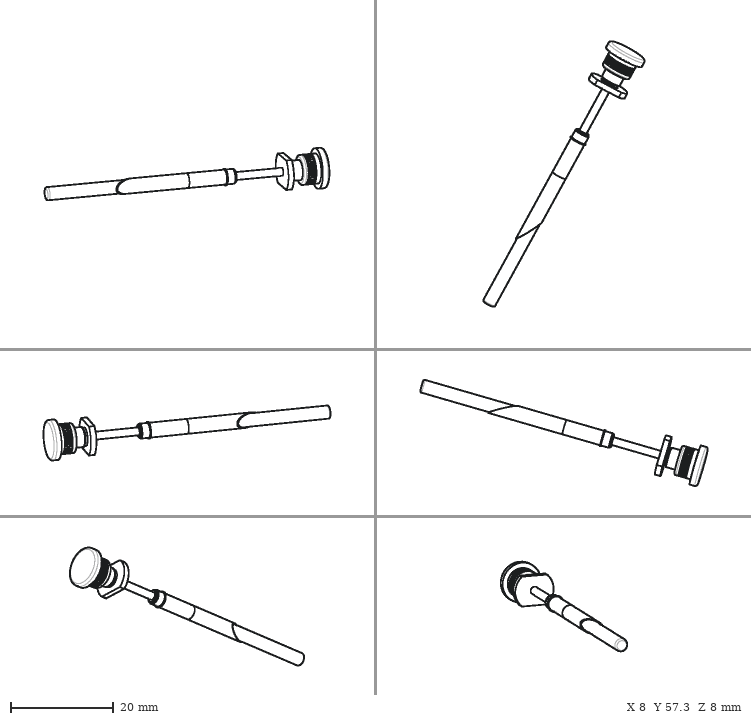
import cadquery as cq
import math

TOTAL_LENGTH = 57.3

FLANGE_RADIUS = 4.0
FLANGE_THICKNESS = 1.5
FLANGE_FILLET = 0.45
GRIP_RADIUS = 3.0
GRIP_END = 5.0
GRIP_FILLET = 0.4
KNURL_START = 2.45
KNURL_LENGTH = 1.6
KNURL_COUNT = 35
KNURL_RIDGE_RADIUS = 3.05
KNURL_ROOT_RADIUS = 2.7
BOSS_RADIUS = 2.0
BOSS_END = 6.9
NECK_OUTER_RADIUS = 1.85
NECK_INNER_RADIUS = 1.5

PLATE_START = 7.45
PLATE_END = 8.6
PLATE_FLAT_SPAN = 6.0

SHAFT_RADIUS = 0.8

BARREL_RADIUS = 1.5
BARREL_START = 18.35
BARREL_NOSE_RADIUS = 1.2
BARREL_NOSE_LENGTH = 0.2
BARREL_SHOULDER_RADIUS = 1.4
BARREL_TAPER_LENGTH = 0.4
COLLAR_RADIUS = 1.65
COLLAR_START = 20.3
COLLAR_THICKNESS = 0.2
BARREL_END = 28.2

SLANT_START = 38.05
SLANT_END = 43.3

PIN_RADIUS = 1.3
PIN_FILLET = 0.35


def along_y(station):
    """Y coordinate of a station, with the whole assembly centred on the origin."""
    return TOTAL_LENGTH / 2 - station


def turned(profile):
    """Solid of revolution about Y from (radius, station) points, closed along the axis."""
    start = profile[0][1]
    end = profile[-1][1]
    points = [(0, start), *profile, (0, end)]
    outline = [(along_y(station), radius) for radius, station in points]
    return cq.Workplane("YZ").polyline(outline).close().revolve(360, (0, 0, 0), (1, 0, 0))


def round_rim(body, radius, station, fillet):
    """Fillet the circular edges of the given radius at the given station."""
    rim = [
        edge for edge in body.edges("%CIRCLE").vals()
        if math.isclose(edge.radius(), radius) and math.isclose(edge.Center().y, along_y(station))
    ]
    return body.newObject(rim).fillet(fillet)


def make_knob():
    neck_middle = (BOSS_END + PLATE_START) / 2
    knob = turned([
        (FLANGE_RADIUS, 0),
        (FLANGE_RADIUS, FLANGE_THICKNESS),
        (GRIP_RADIUS, FLANGE_THICKNESS),
        (GRIP_RADIUS, GRIP_END),
        (BOSS_RADIUS, GRIP_END),
        (BOSS_RADIUS, BOSS_END),
        (NECK_OUTER_RADIUS, BOSS_END),
        (NECK_INNER_RADIUS, neck_middle),
        (NECK_OUTER_RADIUS, PLATE_START),
    ])
    knob = round_rim(knob, FLANGE_RADIUS, 0, FLANGE_FILLET)
    knob = round_rim(knob, GRIP_RADIUS, GRIP_END, GRIP_FILLET)
    return knob.cut(knurl_grooves())


def knurl_grooves():
    """Ring cut from the grip, leaving V-shaped grooves with narrow lands between them."""
    outline = []
    for index in range(KNURL_COUNT):
        root_angle = 2 * math.pi * index / KNURL_COUNT
        ridge_angle = root_angle + math.pi / KNURL_COUNT
        for radius, angle in ((KNURL_ROOT_RADIUS, root_angle), (KNURL_RIDGE_RADIUS, ridge_angle)):
            outline.append((radius * math.cos(angle), radius * math.sin(angle)))
    start_plane = cq.Workplane("XZ", origin=(0, along_y(KNURL_START), 0))
    ring = start_plane.circle(FLANGE_RADIUS).extrude(KNURL_LENGTH)
    ridges = start_plane.polyline(outline).close().extrude(KNURL_LENGTH)
    return ring.cut(ridges)


def make_plate():
    disc = turned([(FLANGE_RADIUS, PLATE_START), (FLANGE_RADIUS, PLATE_END)])
    thickness = PLATE_END - PLATE_START
    flats = cq.Workplane("XY").box(2 * FLANGE_RADIUS, thickness, PLATE_FLAT_SPAN)
    return disc.intersect(flats.translate((0, along_y((PLATE_START + PLATE_END) / 2), 0)))


def make_shaft():
    return turned([(SHAFT_RADIUS, PLATE_END), (SHAFT_RADIUS, BARREL_START)])


def make_barrel():
    collar_end = COLLAR_START + COLLAR_THICKNESS
    return turned([
        (BARREL_NOSE_RADIUS, BARREL_START),
        (BARREL_SHOULDER_RADIUS, BARREL_START + BARREL_NOSE_LENGTH),
        (BARREL_RADIUS, BARREL_START + BARREL_TAPER_LENGTH),
        (BARREL_RADIUS, COLLAR_START),
        (COLLAR_RADIUS, COLLAR_START),
        (COLLAR_RADIUS, collar_end),
        (BARREL_RADIUS, collar_end),
        (BARREL_RADIUS, BARREL_END),
    ])


def knob_side_of_slant():
    """Block filling the knob side of the slanted joint plane, from the barrel end on."""
    half_width = 2 * BARREL_RADIUS
    middle = (SLANT_START + SLANT_END) / 2
    slope = (SLANT_END - SLANT_START) / (2 * BARREL_RADIUS)
    shift = slope * half_width
    outline = [
        (-half_width, along_y(BARREL_END)),
        (half_width, along_y(BARREL_END)),
        (half_width, along_y(middle + shift)),
        (-half_width, along_y(middle - shift)),
    ]
    block = cq.Workplane("XY").polyline(outline).close()
    return block.extrude(half_width, both=True)


def make_wedge_sleeve():
    rod = turned([(BARREL_RADIUS, BARREL_END), (BARREL_RADIUS, SLANT_END)])
    return rod.intersect(knob_side_of_slant())


def make_pin():
    rod = turned([
        (PIN_RADIUS, BARREL_END),
        (PIN_RADIUS, TOTAL_LENGTH),
    ])
    rod = round_rim(rod, PIN_RADIUS, TOTAL_LENGTH, PIN_FILLET)
    return rod.cut(knob_side_of_slant())


knob = make_knob()
plate = make_plate()
shaft = make_shaft()
barrel = make_barrel()
wedge_sleeve = make_wedge_sleeve()
pin = make_pin()

result = cq.Compound.makeCompound([
    knob.val(),
    plate.val(),
    shaft.val(),
    barrel.val(),
    wedge_sleeve.val(),
    pin.val(),
])